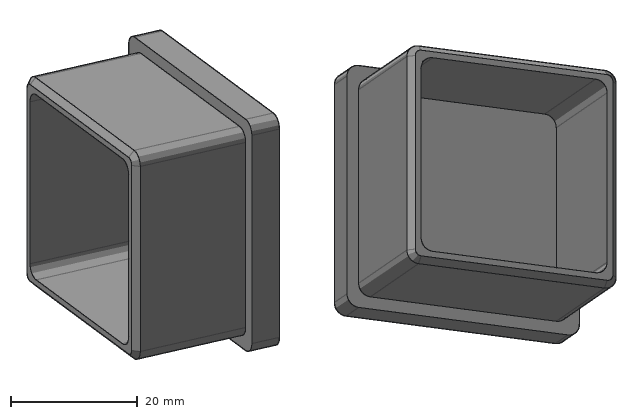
import cadquery as cq

flange_side = 40.0
flange_thickness = 5.0
plug_side = 36.0
plug_length = 20.0
wall_thickness = 2.0
corner_radius = 2.0
tip_chamfer = 1.0
cavity_depth = 20.0

cavity_side = plug_side - 2 * wall_thickness


def rounded_square_block(side, y_start, length):
    """Square block with rounded Y edges, running from y_start toward +Y."""
    return (
        cq.Workplane("XZ", origin=(0, y_start, 0))
        .rect(side, side)
        .extrude(-length)
        .edges("|Y")
        .fillet(corner_radius)
    )


flange = rounded_square_block(flange_side, 0, flange_thickness)
plug = rounded_square_block(plug_side, -plug_length, plug_length).faces("<Y").chamfer(tip_chamfer)
cavity = rounded_square_block(cavity_side, -plug_length, cavity_depth)

result = flange.union(plug).cut(cavity)